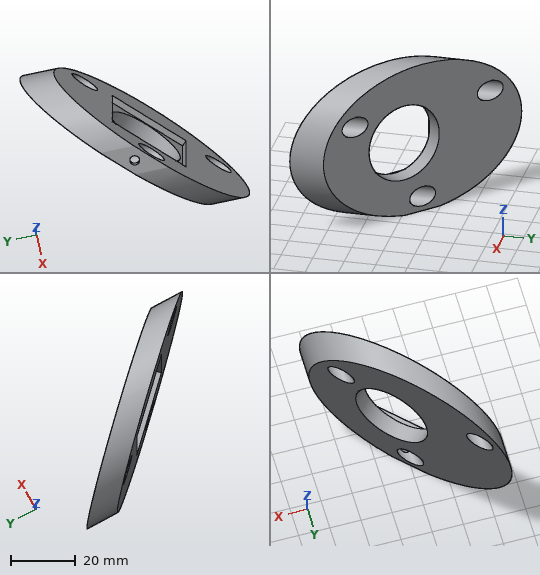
import cadquery as cq
import math

body_diameter = 50.8
body_radius = body_diameter / 2
body_length = 10.71
flat_z = -25.0
slant_angle = 45.0

seat_size = 27.0
seat_depth = 2.0
opening_diameter = 25.4
seat_shift = -0.9

mount_hole_diameter = 6.6
mount_circle_radius = 20.0
mount_hole_angles = (30, 150, 270)

screw_hole_diameter = 3.0

slant = math.radians(slant_angle)
slab_thickness = body_length * math.cos(slant)
slope = math.tan(slant)

front_face = cq.Plane(
    origin=(0, -body_length / 2, 0),
    xDir=(math.cos(slant), -math.sin(slant), 0),
    normal=(math.sin(slant), math.cos(slant), 0),
)


def make_body():
    """Slanted slab with a round outline along Y and a flat bottom."""
    rise = body_diameter * slope
    slab = (
        cq.Workplane("XY", origin=(0, 0, flat_z))
        .moveTo(-body_radius, (rise - body_length) / 2)
        .lineTo(body_radius, (-rise - body_length) / 2)
        .lineTo(body_radius, (-rise + body_length) / 2)
        .lineTo(-body_radius, (rise + body_length) / 2)
        .close()
        .extrude(body_radius - flat_z)
    )
    cylinder = cq.Workplane("XZ").circle(body_radius).extrude(rise + body_length, both=True)
    return cylinder.intersect(slab)


def make_seat():
    """Square pocket sunk into the slanted front face."""
    return cq.Workplane(front_face).center(seat_shift, 0).rect(seat_size, seat_size).extrude(seat_depth)


def make_opening():
    """Round through opening in the middle of the seat."""
    return (
        cq.Workplane(front_face).center(seat_shift, 0).circle(opening_diameter / 2).extrude(slab_thickness)
    )


def make_mount_holes():
    """Three through holes parallel to Y, equally spaced on a circle."""
    centers = []
    for angle in mount_hole_angles:
        x = mount_circle_radius * math.cos(math.radians(angle))
        z = mount_circle_radius * math.sin(math.radians(angle))
        centers.append((x, z))
    return (
        cq.Workplane("XZ")
        .pushPoints(centers)
        .circle(mount_hole_diameter / 2)
        .extrude(body_diameter, both=True)
    )


def make_screw_hole():
    """Vertical hole from the bottom flat to the axis of the lowest mounting hole."""
    depth = -mount_circle_radius - flat_z
    return cq.Workplane("XY", origin=(0, 0, flat_z)).circle(screw_hole_diameter / 2).extrude(depth)


result = (
    make_body()
    .cut(make_seat())
    .cut(make_opening())
    .cut(make_mount_holes())
    .cut(make_screw_hole())
)